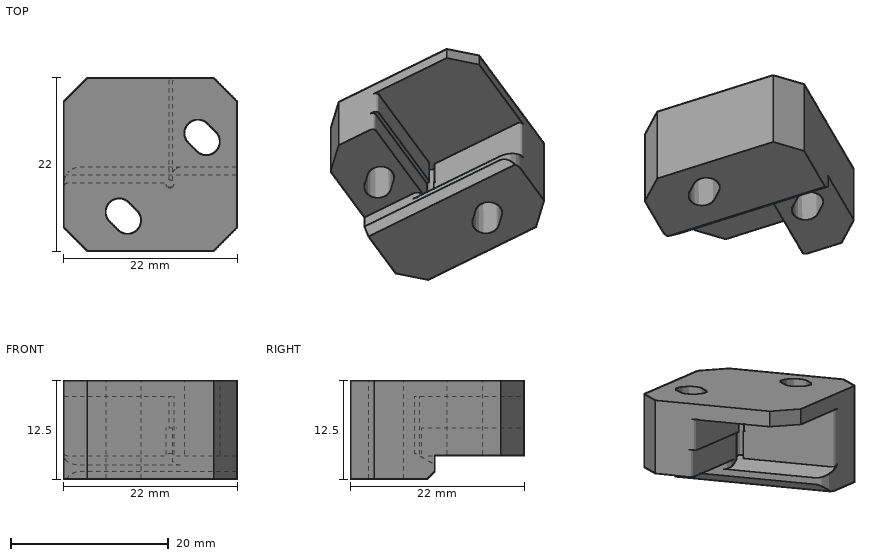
import cadquery as cq
import math

side = 22.0
height = 12.5
half = side / 2
corner_chamfer = 3.0

plate_thickness = 2.0
plate_underside = height - plate_thickness

wall_face = 2.3
wall_end_radius = 0.5
side_wall_bottom = 3.0
recess_face = 2.77
recess_top = 6.51
recess_corner_radius = 0.4

groove_center = 2.45
groove_radius = 0.5
groove_edge_radius = 0.2

lip_edge = -0.3
lip_slope_angle = 30.0
lip_slope_top = 3.0
lip_end_radius = 2.0
lip_bottom_chamfer = 1.0
foot_radius = 1.0

slot_width = 3.4
slot_travel = 1.5
slot_length = slot_width + slot_travel
slot_angle = -45.0
slot_far = 6.55
slot_near = 3.43
slot_centers = [(slot_far, slot_near), (-slot_near, -slot_far)]


def box_between(low, high):
    """Box from its lowest to its highest corner."""
    sizes = [b - a for a, b in zip(low, high)]
    return cq.Workplane("XY").box(*sizes, centered=False).translate(low)


def round_upright_edge(body, x, y, radius):
    """Round the vertical edge of body that stands at (x, y)."""
    tolerance = 0.002
    selector = cq.selectors.BoxSelector(
        (x - tolerance, y - tolerance, -height),
        (x + tolerance, y + tolerance, 2 * height),
    )
    return body.edges("|Z").edges(selector).fillet(radius)


def l_wall(x_face, bottom, top):
    """L-shaped wall with rounded free ends and a sharp inner corner."""
    outline = [
        (-half, -half),
        (half, -half),
        (half, half),
        (x_face, half),
        (x_face, -wall_face),
        (-half, -wall_face),
    ]
    wall = cq.Workplane("XY").workplane(offset=bottom).polyline(outline).close().extrude(top - bottom)
    wall = round_upright_edge(wall, x_face, half, wall_end_radius)
    return round_upright_edge(wall, -half, -wall_face, wall_end_radius)


def cut_groove(wall):
    """Cut the corner relief groove over the full height of a wall."""
    groove = cq.Workplane("XY").center(groove_center, -groove_center).circle(groove_radius).extrude(height)
    return wall.cut(groove)


def make_upper_wall():
    """Wall above the recess step, with softened groove edges."""
    wall = cut_groove(l_wall(wall_face, recess_top, plate_underside))
    offset = groove_center - wall_face
    reach = math.sqrt(groove_radius**2 - offset**2)
    groove_edge = groove_center - reach
    wall = round_upright_edge(wall, wall_face, -groove_edge, groove_edge_radius)
    return round_upright_edge(wall, groove_edge, -wall_face, groove_edge_radius)


def make_lower_wall():
    """Wall below the recess step; its +X leg stops short of the ground beyond the foot."""
    wall = l_wall(recess_face, 0, recess_top)
    wall = round_upright_edge(wall, recess_face, -wall_face, recess_corner_radius)
    undercut = box_between((-half, lip_edge, 0), (half, half, side_wall_bottom))
    wall = wall.cut(undercut)
    wall = round_upright_edge(wall, recess_face, lip_edge, foot_radius)
    return cut_groove(wall)


def make_lip():
    """Lip with a sloped top that runs into the -Y wall."""
    slope = math.tan(math.radians(lip_slope_angle))
    slope_start = -wall_face - wall_end_radius
    slope_start_height = lip_slope_top + wall_end_radius * slope
    slope_end_height = lip_slope_top - (lip_edge + wall_face) * slope
    profile = [
        (-half, 0),
        (lip_edge, 0),
        (lip_edge, slope_end_height),
        (slope_start, slope_start_height),
        (-half, slope_start_height),
    ]
    lip = cq.Workplane("YZ").workplane(offset=-half).polyline(profile).close().extrude(side)
    return round_upright_edge(lip, -half, lip_edge, lip_end_radius)


def make_lip_chamfer():
    """Prism that takes off the lower edge of the lip and foot."""
    corner = [
        (lip_edge - lip_bottom_chamfer, 0),
        (lip_edge, 0),
        (lip_edge, lip_bottom_chamfer),
    ]
    return cq.Workplane("YZ").workplane(offset=-half).polyline(corner).close().extrude(side)


envelope = cq.Workplane("XY").rect(side, side).extrude(height).edges("|Z").chamfer(corner_chamfer)
plate = box_between((-half, -half, plate_underside), (half, half, height))
slots = (
    cq.Workplane("XY")
    .pushPoints(slot_centers)
    .slot2D(slot_length, slot_width, slot_angle)
    .extrude(height)
)

body = plate.union(make_upper_wall()).union(make_lower_wall()).union(make_lip())
result = body.cut(make_lip_chamfer()).intersect(envelope).cut(slots)